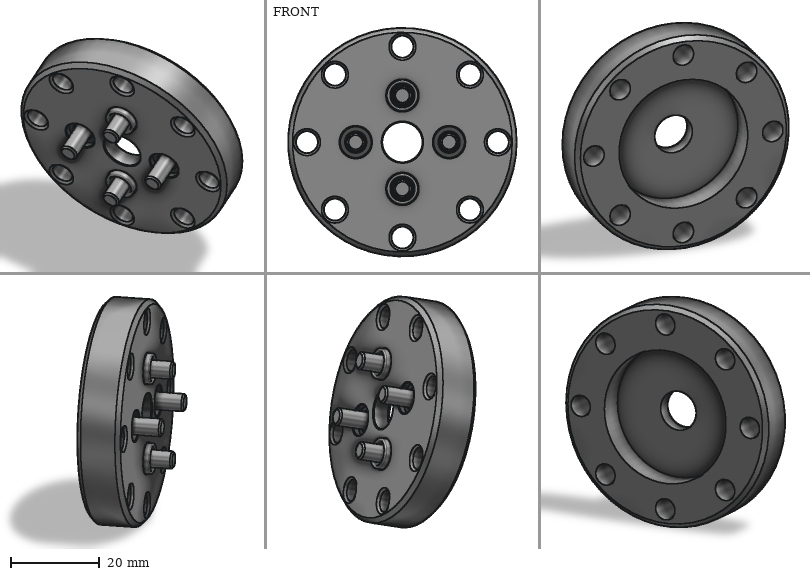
import cadquery as cq
import math

DISC_DIAMETER = 51.5
DISC_THICKNESS = 10.05
RIM_CHAMFER = 1.05
BORE_DIAMETER = 9.0
EDGE_CHAMFER = 0.2

WEB_THICKNESS = 3.7
BACK_POCKET_DIAMETER = 30.9

MOUNT_COUNT = 8
MOUNT_CIRCLE_RADIUS = 21.5
MOUNT_DIAMETER = 4.9
MOUNT_CHAMFER = 0.55

STATION_RADIUS = 10.5
RECESS_DIAMETER = 7.0
RECESS_DEPTH = 1.5
PIN_HOLE_DIAMETER = 4.5
PIN_HOLE_DEPTH = 1.5

PIN_COUNT = 4
PIN_DIAMETER = 4.0
PIN_PROTRUSION = 6.2
PIN_CHAMFER = 0.4

SLEEVE_WALL = 0.7
SLEEVE_PROTRUSION = 1.45


def polar_points(radius, count):
    """Return (x, z) points spread evenly on a circle, starting on +X."""
    step = 2 * math.pi / count
    return [(radius * math.cos(i * step), radius * math.sin(i * step)) for i in range(count)]


MOUNT_POINTS = polar_points(MOUNT_CIRCLE_RADIUS, MOUNT_COUNT)
PIN_POINTS = polar_points(STATION_RADIUS, PIN_COUNT)
SLEEVE_POINTS = [(0, STATION_RADIUS), (0, -STATION_RADIUS)]


def revolve_at(profile, point):
    """Revolve a closed (radius, y) profile about Y and move it to an (x, z) point."""
    x, z = point
    return profile.revolve(360, (0, 0), (0, 1)).translate((x, 0, z))


def chamfered_hole(point, diameter, start, depth, chamfer):
    """Cutter for a hole that starts at y = start, with a chamfer at its mouth."""
    radius = diameter / 2
    end = start + depth
    profile = (
        cq.Workplane("XY")
        .moveTo(0, start)
        .lineTo(radius + chamfer, start)
        .lineTo(radius, start + chamfer)
        .lineTo(radius, end)
        .lineTo(0, end)
        .close()
    )
    return revolve_at(profile, point)


def make_disc():
    """Chamfered disc with the back pocket, the bore, the mounting holes and the four pin stations."""
    disc = cq.Workplane("XZ").circle(DISC_DIAMETER / 2).extrude(-DISC_THICKNESS)
    disc = disc.faces("<Y or >Y").edges().chamfer(RIM_CHAMFER)
    pocket_depth = DISC_THICKNESS - WEB_THICKNESS
    pocket = cq.Workplane("XZ", origin=(0, WEB_THICKNESS, 0)).circle(BACK_POCKET_DIAMETER / 2)
    disc = disc.cut(pocket.extrude(-pocket_depth))
    disc = disc.cut(chamfered_hole((0, 0), BORE_DIAMETER, 0, WEB_THICKNESS, EDGE_CHAMFER))
    for point in MOUNT_POINTS:
        disc = disc.cut(chamfered_hole(point, MOUNT_DIAMETER, 0, DISC_THICKNESS, MOUNT_CHAMFER))
    for point in PIN_POINTS:
        disc = disc.cut(chamfered_hole(point, RECESS_DIAMETER, 0, RECESS_DEPTH, EDGE_CHAMFER))
        disc = disc.cut(chamfered_hole(point, PIN_HOLE_DIAMETER, RECESS_DEPTH, PIN_HOLE_DEPTH, EDGE_CHAMFER))
    return disc


def make_pin(point):
    """Pin that stands on the floor of its hole and has a chamfered free end."""
    radius = PIN_DIAMETER / 2
    foot = RECESS_DEPTH + PIN_HOLE_DEPTH
    profile = (
        cq.Workplane("XY")
        .moveTo(0, -PIN_PROTRUSION)
        .lineTo(radius - PIN_CHAMFER, -PIN_PROTRUSION)
        .lineTo(radius, -PIN_PROTRUSION + PIN_CHAMFER)
        .lineTo(radius, foot)
        .lineTo(0, foot)
        .close()
    )
    return revolve_at(profile, point)


def make_sleeve(point):
    """Sleeve that sits on the recess floor and has a fully rounded free end."""
    outer = RECESS_DIAMETER / 2
    inner = outer - SLEEVE_WALL
    rounding = SLEEVE_WALL / 2
    shoulder = -SLEEVE_PROTRUSION + rounding
    profile = (
        cq.Workplane("XY")
        .moveTo(outer, RECESS_DEPTH)
        .lineTo(outer, shoulder)
        .threePointArc((outer - rounding, -SLEEVE_PROTRUSION), (inner, shoulder))
        .lineTo(inner, RECESS_DEPTH)
        .close()
    )
    return revolve_at(profile, point)


disc = make_disc()
pins = [make_pin(point) for point in PIN_POINTS]
sleeves = [make_sleeve(point) for point in SLEEVE_POINTS]

result = cq.Compound.makeCompound([body.val() for body in [disc, *pins, *sleeves]])